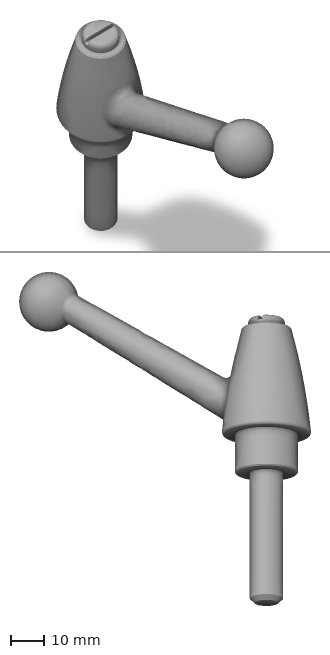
import cadquery as cq
import math

total_height = 109.0
collar_bottom = 40.1
body_bottom = 52.0
body_top = 85.0
screw_top = 88.1

stud_radius = 10.0 / 2
stud_chamfer = 1.4
collar_radius = 19.0 / 2
collar_chamfer = 0.4

body_base_radius = 13.3
body_middle_radius = 11.0
body_top_radius = 7.4
body_rim_height = 1.2
body_rim_fillet = 0.8
body_top_chamfer = 0.4

recess_radius = 11.2 / 2
recess_depth = 1.1
screw_radius = 11.0 / 2
screw_fillet = 1.5
slot_width = 1.4
slot_depth = 1.6

ball_radius = 8.9
ball_x = 70.1
ball_z = total_height - ball_radius
arm_angle = 33.6
arm_root_x = 5.5
arm_root_z = 59.1
arm_length = 73.0
arm_root_width = 12.0
arm_root_thickness = 11.3
arm_tip_width = 10.1
arm_tip_thickness = 8.6
arm_root_fillet = 2.2
arm_tip_fillet = 0.9


def cylinder(radius, bottom, top):
    return cq.Workplane("XY").workplane(offset=bottom).circle(radius).extrude(top - bottom)


def make_body():
    """Revolve the bulged outline, then break its two rims."""
    rim_top = body_bottom + body_rim_height
    body = (
        cq.Workplane("XZ")
        .moveTo(0, body_bottom)
        .lineTo(body_base_radius, body_bottom)
        .lineTo(body_base_radius, rim_top)
        .threePointArc((body_middle_radius, (rim_top + body_top) / 2), (body_top_radius, body_top))
        .lineTo(0, body_top)
        .close()
        .revolve(360, (0, 0, 0), (0, 1, 0))
    )
    return body.faces("<Z").edges().fillet(body_rim_fillet).faces(">Z").edges().chamfer(body_top_chamfer)


def make_arm():
    """Loft the oval arm from inside the body to inside the ball."""
    angle = math.radians(arm_angle)
    axis = cq.Vector(math.cos(angle), 0, math.sin(angle))
    root_plane = cq.Plane(origin=(arm_root_x, 0, arm_root_z), xDir=(0, 1, 0), normal=axis.toTuple())
    return (
        cq.Workplane(root_plane)
        .ellipse(arm_root_width / 2, arm_root_thickness / 2)
        .workplane(offset=arm_length)
        .ellipse(arm_tip_width / 2, arm_tip_thickness / 2)
        .loft(ruled=True)
    )


def make_screw():
    """Round-edged screw head with a slot along Y."""
    screw = cylinder(screw_radius, body_top - recess_depth, screw_top).faces(">Z").edges().fillet(screw_fillet)
    slot = cq.Workplane("XY").box(slot_width, 2 * screw_radius, slot_depth, centered=(True, True, False))
    return screw.cut(slot.translate((0, 0, screw_top - slot_depth)))


def joint_edges(handle, near, far):
    """Edges between the arm and its neighbour, found by their centre along X."""
    box = cq.selectors.BoxSelector((near, -body_base_radius, body_bottom), (far, body_base_radius, total_height))
    return handle.edges(box)


ball = cq.Workplane("XY").sphere(ball_radius).translate((ball_x, 0, ball_z))
handle = make_body().union(make_arm()).union(ball)
handle = joint_edges(handle, body_top_radius, body_base_radius + arm_root_fillet).fillet(arm_root_fillet)
handle = joint_edges(handle, ball_x - ball_radius, ball_x - ball_radius / 2).fillet(arm_tip_fillet)
handle = handle.cut(cylinder(recess_radius, body_top - recess_depth, body_top))

collar = cylinder(collar_radius, collar_bottom, body_bottom).faces("<Z").edges().chamfer(collar_chamfer)
stud = cylinder(stud_radius, 0, collar_bottom).faces("<Z").edges().chamfer(stud_chamfer)
result = handle.union(make_screw()).union(collar).union(stud)